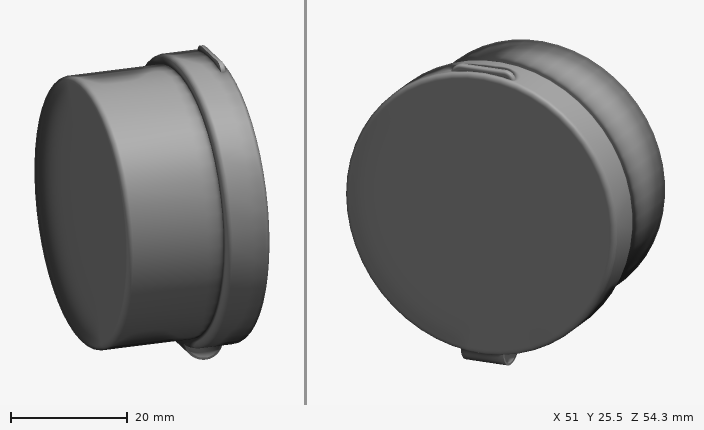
import cadquery as cq
import math

total_depth = 25.5
edge_radius = 1.0

housing_radius = 23.75
housing_depth = 17.45

disc_radius = 16.0
disc_thickness = 1.0

lid_radius = 25.5
lid_depth = total_depth - housing_depth
lid_middle = housing_depth + lid_depth / 2

tab_top = 26.25
tab_width = 12.05
tab_corner_radius = 2.0
tab_thickness = 1.0
tab_edge_radius = 0.5
tab_back = total_depth - edge_radius

strap_bottom = tab_top - 54.25
strap_width = 8.05
strap_thickness = 0.4
strap_front_radius = lid_depth / 2
strap_back_radius = tab_back - lid_middle
strap_front_end = -24.45


def drum(radius, front, depth):
    """Solid cylinder along Y that starts at the front position."""
    return cq.Workplane("XZ", origin=(0, front, 0)).circle(radius).extrude(-depth)


def make_disc():
    return drum(disc_radius, 0, disc_thickness)


def make_housing(disc):
    body = drum(housing_radius, 0, housing_depth).faces("<Y").edges().fillet(edge_radius)
    return body.cut(disc)


def make_lid():
    return drum(lid_radius, housing_depth, lid_depth).edges("%CIRCLE").fillet(edge_radius)


def make_tab(lid):
    """Plate with rounded top corners and back edge, seated on the lid rim."""
    height = tab_top - lid_radius + 2 * tab_corner_radius
    plate = (
        cq.Workplane("XY")
        .box(tab_width, tab_thickness, height)
        .translate((0, tab_back - tab_thickness / 2, tab_top - height / 2))
        .edges("|Y and >Z")
        .fillet(tab_corner_radius)
        .faces(">Y")
        .edges("not <Z")
        .fillet(tab_edge_radius)
    )
    return plate.cut(lid)


def arc_point(radius, center_z, angle):
    """Point in the YZ plane; the angle turns from straight down toward the back."""
    return (lid_middle + radius * math.sin(angle), center_z - radius * math.cos(angle))


def make_strap():
    """Thin bent strip with a wide front arc and a tighter back arc."""
    front_z = strap_bottom + strap_front_radius
    back_z = strap_bottom + strap_back_radius
    inner_front = strap_front_radius - strap_thickness
    inner_back = strap_back_radius - strap_thickness
    quarter = math.pi / 2
    outer_end = -math.acos((front_z - strap_front_end) / strap_front_radius)
    inner_end = -math.acos((front_z - strap_front_end) / inner_front)
    return (
        cq.Workplane("YZ", origin=(-strap_width / 2, 0, 0))
        .moveTo(*arc_point(strap_front_radius, front_z, outer_end))
        .threePointArc(
            arc_point(strap_front_radius, front_z, outer_end / 2),
            arc_point(strap_front_radius, front_z, 0),
        )
        .threePointArc(
            arc_point(strap_back_radius, back_z, quarter / 2),
            arc_point(strap_back_radius, back_z, quarter),
        )
        .lineTo(*arc_point(inner_back, back_z, quarter))
        .threePointArc(
            arc_point(inner_back, back_z, quarter / 2),
            arc_point(inner_back, back_z, 0),
        )
        .threePointArc(
            arc_point(inner_front, front_z, inner_end / 2),
            arc_point(inner_front, front_z, inner_end),
        )
        .close()
        .extrude(strap_width)
    )


disc = make_disc()
housing = make_housing(disc)
plain_lid = make_lid()
tab = make_tab(plain_lid)
strap = make_strap()

lid = plain_lid.cut(strap)

result = cq.Compound.makeCompound([housing.val(), disc.val(), lid.val(), tab.val(), strap.val()])